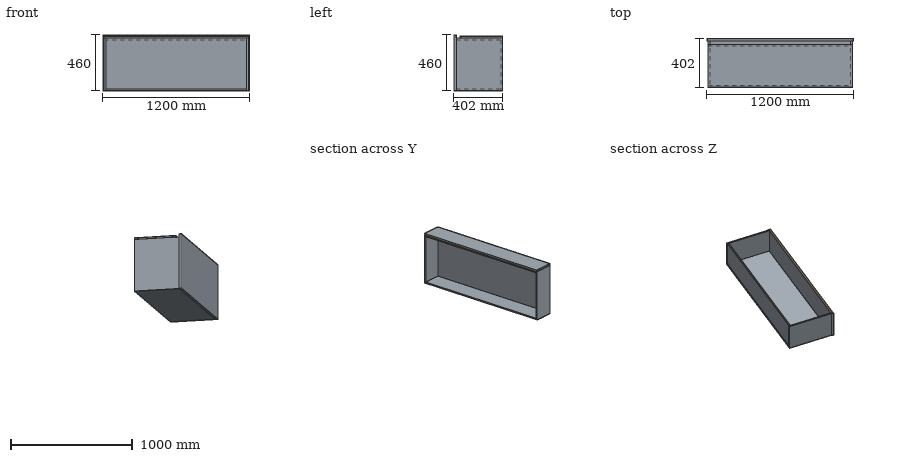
import cadquery as cq

WIDTH = 1200.0
DEPTH = 402.0
HEIGHT = 460.0

DOOR_THICKNESS = 22.0
DOOR_ROUND = 3.0

BOARD = 15.0
SIDE_THICKNESS = 17.0
SIDE_INSET = 5.0
CARCASS_HEIGHT = 435.0
CARCASS_DEPTH = DEPTH - DOOR_THICKNESS
INNER_LEFT = SIDE_INSET + SIDE_THICKNESS
INNER_WIDTH = WIDTH - 2 * INNER_LEFT

LID_INSET = 7.5
LID_THICKNESS = 15.0
LID_DEPTH = 352.0
LID_BEVEL = 11.0
LID_LAND = 4.0


def make_board(size, corner):
    """Rectangular board with its lowest X, Y and Z at the given corner."""
    return cq.Workplane("XY").box(*size, centered=False).translate(corner)


def make_door():
    """Door with rounded top corners and a rounded +Y rim, square along the bottom."""
    door = make_board((WIDTH, DOOR_THICKNESS, HEIGHT), (0, CARCASS_DEPTH, 0))
    door = door.faces(">Z").edges("|Y").fillet(DOOR_ROUND)
    return door.faces(">Y").edges("not <Z").fillet(DOOR_ROUND)


def make_side(left):
    """Full-height side board starting at the given X."""
    return make_board((SIDE_THICKNESS, CARCASS_DEPTH, CARCASS_HEIGHT), (left, 0, 0))


def make_bottom():
    """Bottom board between the sides."""
    return make_board((INNER_WIDTH, CARCASS_DEPTH, BOARD), (INNER_LEFT, 0, 0))


def make_back():
    """Board closing the -Y side, standing on the bottom board."""
    return make_board((INNER_WIDTH, BOARD, CARCASS_HEIGHT - BOARD), (INNER_LEFT, 0, BOARD))


def make_top():
    """Top board between the sides, from the back to the door."""
    size = (INNER_WIDTH, CARCASS_DEPTH - BOARD, BOARD)
    return make_board(size, (INNER_LEFT, BOARD, CARCASS_HEIGHT - BOARD))


def make_lid():
    """Slab with its +Y edge undercut by a bevel that forms a finger grip."""
    profile = [
        (0, 0),
        (LID_DEPTH - LID_BEVEL, 0),
        (LID_DEPTH, LID_THICKNESS - LID_LAND),
        (LID_DEPTH, LID_THICKNESS),
        (0, LID_THICKNESS),
    ]
    lid = cq.Workplane("YZ").polyline(profile).close().extrude(WIDTH - 2 * LID_INSET)
    return lid.translate((LID_INSET, 0, CARCASS_HEIGHT))


door = make_door()
sides = [make_side(left) for left in (SIDE_INSET, WIDTH - INNER_LEFT)]
bottom = make_bottom()
back = make_back()
top = make_top()
lid = make_lid()

result = cq.Compound.makeCompound([
    door.val(),
    *[side.val() for side in sides],
    bottom.val(),
    back.val(),
    top.val(),
    lid.val(),
])